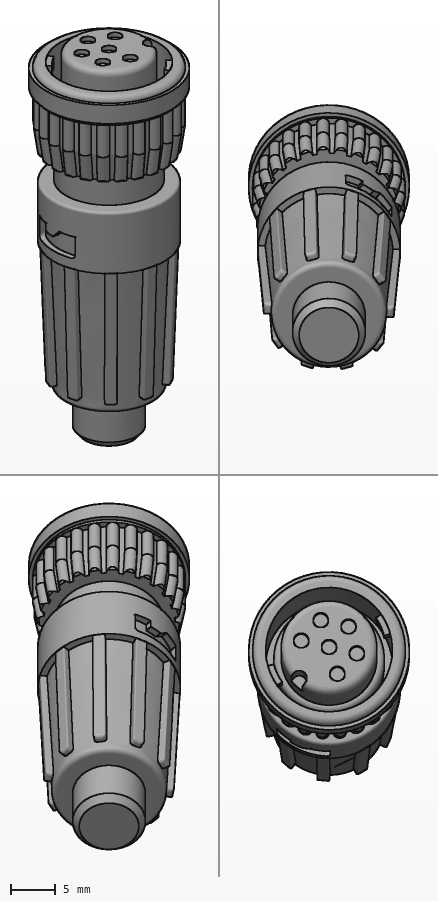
import cadquery as cq
import math

total_height = 48.64
tail_chamfer_height = 0.87
grip_bottom_z = 5.8
rib_bottom_z = 7.17
body_bottom_z = 24.37
body_top_z = 32.1
knurl_bottom_z = 35.95
knurl_bend_z = 39.4
knurl_top_z = 43.5
flange_bottom_z = 43.95
flange_top_z = 46.3
ring_top_z = 47.05

tail_radius = 4.08
tail_end_radius = 3.34
grip_bottom_radius = 6.4
grip_top_radius = 7.2
grip_fillet = 0.6
body_radius = 8.01
body_fillet = 0.35
neck_radius = 6.2
clocking_angle = -70.0

rib_count = 10
rib_width = 1.4
rib_top_radius = 7.95
rib_bottom_radius = 7.29
rib_edge_fillet = 0.15
rib_end_fillet = 0.45
rib_root_radius = 5.0

pocket_half_width = 3.25
pocket_bottom_z = 25.7
pocket_height = 2.8
pocket_corner_radius = 0.5
pocket_floor_radius = 7.25
tab_height = 1.02
tab_left = -1.33
tab_tip_right = 0.1

flange_radius = 18.03 / 2
ring_radius = 8.57
ring_fillet = ring_top_z - flange_top_z
ring_bore_radius = 7.1
ring_bore_floor_z = 37.5
lobe_count = 24
lobe_radius = 0.72
lobe_depth = 0.67
lobe_taper = 0.52
knurl_end_chamfer = 0.2

lug_inner_radius = 6.4
lug_top_z = 46.85
lug_height = 1.5
lug_start_angle = 58.0
lug_sweep = 20.0

sleeve_top_z = 42.0
sleeve_fillet = 0.6
insert_radius = 5.37
insert_fillet = 0.75
contact_diameter = 1.68
contact_circle_radius = 3.2
contact_depth = 0.6
contact_angles = (30, 150, 210, 270, 330)
key_width = 1.7
key_depth = 3.0
key_center_radius = 4.88


def disc(radius, bottom_z, top_z):
    """Solid cylinder on the Z axis."""
    return cq.Workplane("XY").workplane(offset=bottom_z).circle(radius).extrude(top_z - bottom_z)


def turned(points):
    """Solid of revolution about Z from a closed (radius, z) outline."""
    return cq.Workplane("XZ").polyline(points).close().revolve(360, (0, 0, 0), (0, 1, 0))


def make_tail():
    return turned([
        (0, 0),
        (tail_end_radius, 0),
        (tail_radius, tail_chamfer_height),
        (tail_radius, grip_bottom_z),
        (0, grip_bottom_z),
    ])


def make_rib(angle):
    """Parallel-sided rib, tapering towards the tail, with a rounded lower end."""
    profile = [
        (rib_root_radius, rib_bottom_z),
        (rib_bottom_radius, rib_bottom_z),
        (rib_top_radius, body_bottom_z),
        (rib_root_radius, body_bottom_z),
    ]
    rib = cq.Workplane("XZ").polyline(profile).close().extrude(rib_width / 2, both=True)
    rib = rib.faces(">X").edges("<Y or >Y").fillet(rib_edge_fillet)
    rib = rib.faces("<Z").edges(">X or >Y or <Y").fillet(rib_end_fillet)
    return rib.rotate((0, 0, 0), (0, 0, 1), angle)


def make_grip():
    grip = turned([
        (0, grip_bottom_z),
        (grip_bottom_radius, grip_bottom_z),
        (grip_top_radius, body_bottom_z),
        (0, body_bottom_z),
    ])
    grip = grip.faces("<Z").edges().fillet(grip_fillet)
    pitch = 360 / rib_count
    for index in range(rib_count):
        grip = grip.union(make_rib(clocking_angle + (index + 0.5) * pitch))
    return grip


def make_pocket(direction):
    """Latch pocket cutter: a U outline around a hanging tab, cut in to a round floor."""
    angle = math.radians(direction)
    outward = cq.Vector(math.cos(angle), math.sin(angle), 0)
    across = cq.Vector(-math.sin(angle), math.cos(angle), 0)
    plane = cq.Plane(origin=(0, 0, pocket_bottom_z), xDir=across, normal=outward)
    tab_bottom = pocket_height - tab_height
    full_width = cq.Workplane(plane).center(0, pocket_height / 2).rect(2 * pocket_half_width, pocket_height)
    block = full_width.extrude(2 * body_radius)
    block = block.edges(cq.selectors.ParallelDirSelector(outward)).edges("<Z").fillet(pocket_corner_radius)
    tab = (
        cq.Workplane(plane)
        .moveTo(tab_left, tab_bottom)
        .lineTo(tab_tip_right, tab_bottom)
        .lineTo(tab_tip_right + tab_height, pocket_height)
        .lineTo(tab_left, pocket_height)
        .close()
        .extrude(2 * body_radius)
    )
    core = disc(pocket_floor_radius, body_bottom_z, body_top_z)
    return block.cut(tab).cut(core)


def make_body():
    body = disc(body_radius, body_bottom_z, body_top_z).faces(">Z").edges().fillet(body_fillet)
    for direction in (clocking_angle, clocking_angle + 180):
        body = body.cut(make_pocket(direction))
    return body


def make_lobe(angle):
    """One rounded knurl ridge: straight above the bend, leaning inwards below it."""
    center = ring_radius - lobe_radius
    upper = (
        cq.Workplane("XY")
        .workplane(offset=knurl_bend_z)
        .center(center, 0)
        .circle(lobe_radius)
        .extrude(knurl_top_z - knurl_bend_z)
    )
    lean = cq.Vector(lobe_taper, 0, knurl_bend_z - knurl_bottom_z)
    overrun = lobe_radius
    bottom_center = cq.Vector(center - lobe_taper, 0, knurl_bottom_z)
    start = bottom_center - lean.normalized() * overrun
    leaning = cq.Workplane(cq.Solid.makeCylinder(lobe_radius, lean.Length + 2 * overrun, start, lean))
    lower = leaning.intersect(disc(flange_radius, knurl_bottom_z, knurl_bend_z))
    return upper.union(lower).rotate((0, 0, 0), (0, 0, 1), angle)


def make_knurl():
    core_radius = ring_radius - lobe_depth
    knurl = turned([
        (0, knurl_bottom_z),
        (core_radius - lobe_taper, knurl_bottom_z),
        (core_radius, knurl_bend_z),
        (core_radius, knurl_top_z),
        (0, knurl_top_z),
    ])
    pitch = 360 / lobe_count
    for index in range(lobe_count):
        knurl = knurl.union(make_lobe(-90 + (index + 0.5) * pitch))
    end_radius = ring_radius - lobe_taper
    envelope = turned([
        (0, knurl_bottom_z),
        (end_radius - knurl_end_chamfer, knurl_bottom_z),
        (end_radius + knurl_end_chamfer, knurl_bottom_z + 2 * knurl_end_chamfer),
        (flange_radius, knurl_bend_z),
        (flange_radius, knurl_top_z),
        (0, knurl_top_z),
    ])
    return knurl.intersect(envelope)


def make_lug(start_angle):
    """Bayonet lug: a ring sector standing inwards from the bore wall."""
    profile = [
        (lug_inner_radius, lug_top_z - lug_height),
        (ring_radius - ring_fillet, lug_top_z - lug_height),
        (ring_radius - ring_fillet, lug_top_z),
        (lug_inner_radius, lug_top_z),
    ]
    lug = cq.Workplane("XZ").polyline(profile).close().revolve(lug_sweep, (0, 0, 0), (0, 1, 0))
    return lug.rotate((0, 0, 0), (0, 0, 1), start_angle)


def make_coupling_ring():
    rim = disc(ring_radius, knurl_top_z, ring_top_z).faces(">Z").edges().fillet(ring_fillet)
    ring = make_knurl().union(rim).union(disc(flange_radius, flange_bottom_z, flange_top_z))
    ring = ring.cut(disc(ring_bore_radius, ring_bore_floor_z, ring_top_z))
    for start_angle in (lug_start_angle, lug_start_angle + 180):
        ring = ring.union(make_lug(start_angle))
    return ring


def make_sleeve():
    """Neck that continues up inside the ring as a round-shouldered sleeve."""
    return disc(neck_radius, body_top_z, sleeve_top_z).faces(">Z").edges().fillet(sleeve_fillet)


def make_insert():
    insert = disc(insert_radius, body_top_z, total_height).faces(">Z").edges().fillet(insert_fillet)
    contact_points = [(0, 0)]
    for angle in contact_angles:
        radians = math.radians(angle)
        contact_points.append(
            (contact_circle_radius * math.cos(radians), contact_circle_radius * math.sin(radians))
        )
    top_plane = cq.Workplane("XY").workplane(offset=total_height)
    contacts = top_plane.pushPoints(contact_points).circle(contact_diameter / 2).extrude(-contact_depth)
    key_round = top_plane.center(0, key_center_radius).circle(key_width / 2).extrude(-key_depth)
    key_slot = (
        top_plane.center(0, key_center_radius + key_width / 2)
        .rect(key_width, key_width)
        .extrude(-key_depth)
    )
    return insert.cut(contacts).cut(key_round).cut(key_slot)


result = (
    make_tail()
    .union(make_grip())
    .union(make_body())
    .union(make_sleeve())
    .union(make_coupling_ring())
    .union(make_insert())
)